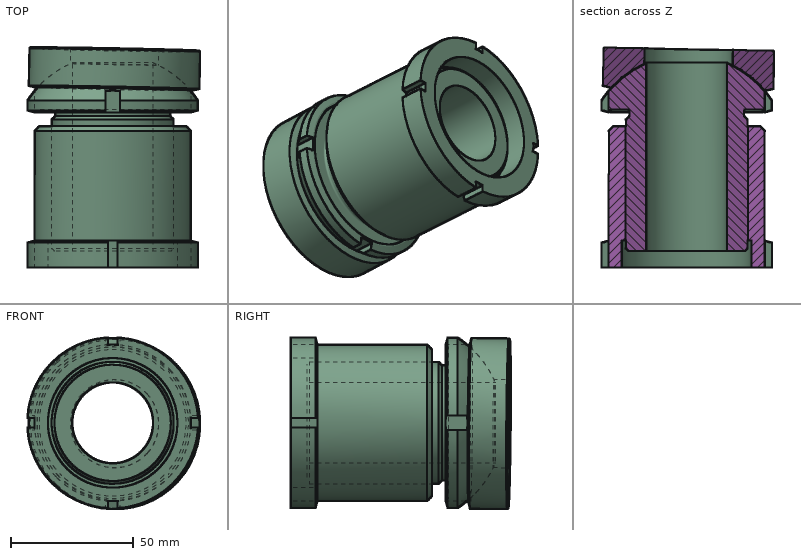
import cadquery as cq
import math


OVERALL_LENGTH = 90.25
OUTER_RADIUS = 35.0
RIM_RADIUS = 32.0
BEVEL_HEIGHT = 0.8
SPINDLE_BORE_RADIUS = 16.5
SHANK_RADIUS = 25.0

BARREL_RADIUS = RIM_RADIUS
BARREL_TOP = 57.9
BARREL_CHAMFER = 2.0
FLANGE_HEIGHT = 11.0
FLANGE_SLOT_WIDTH = 4.0
COUNTERBORE_RADIUS = 26.5
COUNTERBORE_DEPTH = FLANGE_HEIGHT

SPINDLE_BOTTOM = 6.7
SHANK_CHAMFER = 1.2
SHANK_TOP = 60.65
NECK_RADIUS = 23.65
NECK_FILLET = 0.7
COLLAR_BOTTOM = 63.5
COLLAR_SLOT_WIDTH = 6.05
COLLAR_RECESS_RADIUS = 31.05
COLLAR_RECESS_DEPTH = 1.2

BALL_RADIUS = 42.0
BALL_CENTER = 45.3

CAP_BOTTOM = 73.1
CAP_RIM_RADIUS = 32.3
CAP_BEVEL_HEIGHT = 0.7
CAP_TOP_CHAMFER = 0.5
CAP_BORE_RADIUS = 18.05
CAP_TILT_TO_X = 1.1
CAP_TILT_TO_Z = 0.5
CAP_TILT_COSINE = math.cos(math.radians(CAP_TILT_TO_X)) * math.cos(math.radians(CAP_TILT_TO_Z))
CAP_TILT_RISE = (OUTER_RADIUS - CAP_TOP_CHAMFER) * math.sqrt(1 - CAP_TILT_COSINE**2)
CAP_TOP = BALL_CENTER + (OVERALL_LENGTH - BALL_CENTER - CAP_TILT_RISE) / CAP_TILT_COSINE

FULL_TURN = 360
SLOT_COUNT = 4
SLOT_OVERCUT = 0.9


def ball_height(radius):
    """Y of the ball surface at a given distance from the axis."""
    return BALL_CENTER + math.sqrt(BALL_RADIUS**2 - radius**2)


def ball_point(inner_radius, outer_radius):
    """Point on the ball surface halfway between two radii."""
    radius = (inner_radius + outer_radius) / 2
    return (radius, ball_height(radius))


def turned(profile):
    """Revolve a (radius, y) profile about the Y axis."""
    return profile.close().revolve(FULL_TURN, (0, 0, 0), (0, 1, 0))


def cut_wrench_slots(body, width, bottom, top):
    """Cut flat-floored slots along Y into the rim, evenly spaced around the axis."""
    depth = OUTER_RADIUS - RIM_RADIUS + SLOT_OVERCUT
    slot = cq.Workplane("XY").box(depth, top - bottom, width, centered=(False, False, True))
    slot = slot.translate((RIM_RADIUS, bottom, 0))
    for i in range(SLOT_COUNT):
        body = body.cut(slot.rotate((0, 0, 0), (0, 1, 0), i * FULL_TURN / SLOT_COUNT))
    return body


def make_sleeve():
    """Barrel with a slotted flange, a threaded bore and a counterbore at the flange end."""
    profile = (
        cq.Workplane("XY")
        .moveTo(COUNTERBORE_RADIUS, 0)
        .lineTo(OUTER_RADIUS, 0)
        .lineTo(OUTER_RADIUS, FLANGE_HEIGHT - BEVEL_HEIGHT)
        .lineTo(BARREL_RADIUS, FLANGE_HEIGHT)
        .lineTo(BARREL_RADIUS, BARREL_TOP - BARREL_CHAMFER)
        .lineTo(BARREL_RADIUS - BARREL_CHAMFER, BARREL_TOP)
        .lineTo(SHANK_RADIUS, BARREL_TOP)
        .lineTo(SHANK_RADIUS, COUNTERBORE_DEPTH)
        .lineTo(COUNTERBORE_RADIUS, COUNTERBORE_DEPTH)
    )
    return cut_wrench_slots(turned(profile), FLANGE_SLOT_WIDTH, 0, FLANGE_HEIGHT)


def make_spindle():
    """Hollow shank with a neck and a slotted collar that carries the ball face."""
    recess_floor = COLLAR_BOTTOM + COLLAR_RECESS_DEPTH
    profile = (
        cq.Workplane("XY")
        .moveTo(SPINDLE_BORE_RADIUS, SPINDLE_BOTTOM)
        .lineTo(SHANK_RADIUS - SHANK_CHAMFER, SPINDLE_BOTTOM)
        .lineTo(SHANK_RADIUS, SPINDLE_BOTTOM + SHANK_CHAMFER)
        .lineTo(SHANK_RADIUS, SHANK_TOP)
        .lineTo(NECK_RADIUS, SHANK_TOP + SHANK_RADIUS - NECK_RADIUS)
        .lineTo(NECK_RADIUS, recess_floor - NECK_FILLET)
        .tangentArcPoint((NECK_FILLET, NECK_FILLET))
        .lineTo(COLLAR_RECESS_RADIUS, recess_floor)
        .lineTo(COLLAR_RECESS_RADIUS, COLLAR_BOTTOM)
        .lineTo(RIM_RADIUS, COLLAR_BOTTOM)
        .lineTo(OUTER_RADIUS, COLLAR_BOTTOM + BEVEL_HEIGHT)
        .lineTo(OUTER_RADIUS, ball_height(OUTER_RADIUS))
        .threePointArc(
            ball_point(SPINDLE_BORE_RADIUS, OUTER_RADIUS),
            (SPINDLE_BORE_RADIUS, ball_height(SPINDLE_BORE_RADIUS)),
        )
    )
    return cut_wrench_slots(turned(profile), COLLAR_SLOT_WIDTH, COLLAR_BOTTOM, CAP_BOTTOM)


def make_cap():
    """Ring with bevelled edges and a ball socket, tilted about the ball centre."""
    socket_radius = math.sqrt(BALL_RADIUS**2 - (CAP_BOTTOM - BALL_CENTER) ** 2)
    profile = (
        cq.Workplane("XY")
        .moveTo(socket_radius, CAP_BOTTOM)
        .lineTo(CAP_RIM_RADIUS, CAP_BOTTOM)
        .lineTo(OUTER_RADIUS, CAP_BOTTOM + CAP_BEVEL_HEIGHT)
        .lineTo(OUTER_RADIUS, CAP_TOP - CAP_TOP_CHAMFER)
        .lineTo(OUTER_RADIUS - CAP_TOP_CHAMFER, CAP_TOP)
        .lineTo(CAP_BORE_RADIUS, CAP_TOP)
        .lineTo(CAP_BORE_RADIUS, ball_height(CAP_BORE_RADIUS))
        .threePointArc(ball_point(CAP_BORE_RADIUS, socket_radius), (socket_radius, CAP_BOTTOM))
    )
    pivot = cq.Vector(0, BALL_CENTER, 0)
    cap = turned(profile)
    cap = cap.rotate(pivot, pivot + cq.Vector(0.9, 0, 0), -CAP_TILT_TO_Z)
    return cap.rotate(pivot, pivot + cq.Vector(0, 0, 0.9), -CAP_TILT_TO_X)


sleeve = make_sleeve()
spindle = make_spindle()
cap = make_cap()

result = cq.Compound.makeCompound([sleeve.val(), spindle.val(), cap.val()])